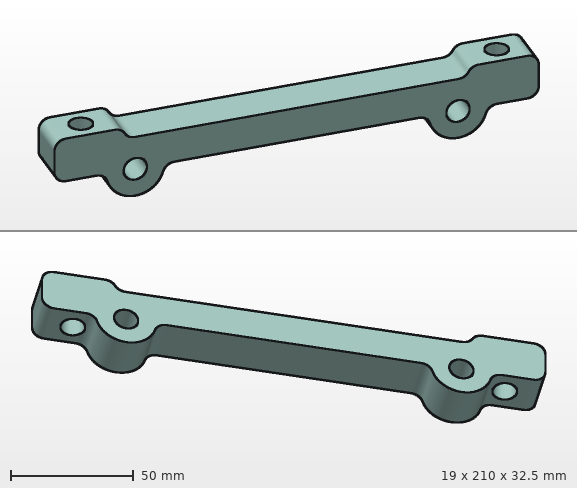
import cadquery as cq
import math

length = 210.0
width = 19.0
height = 32.5
lug_radius = 12.5
step_drop = 5.0
blend_radius = 5.0
hole_diameter = 10.0
pad_hole_from_end = 15.0
lug_from_end = 35.0
step_foot_from_end = 34.9

half_length = length / 2
pad_top = height - lug_radius
middle_top = pad_top - step_drop
lug_y = half_length - lug_from_end
pad_hole_y = half_length - pad_hole_from_end
step_foot_y = half_length - step_foot_from_end

step_angle = math.acos(1 - step_drop / (2 * blend_radius))
step_run = 2 * blend_radius * math.sin(step_angle)
step_top_y = step_foot_y + step_run
step_middle = (step_foot_y + step_run / 2, middle_top + step_drop / 2)


def make_bar():
    """Stepped bar with rounded ends, drawn in the YZ plane."""
    half_profile = (
        cq.Workplane("YZ")
        .moveTo(0, 0)
        .lineTo(half_length, 0)
        .lineTo(half_length, pad_top)
        .lineTo(step_top_y, pad_top)
        .tangentArcPoint(step_middle, relative=False)
        .tangentArcPoint((step_foot_y, middle_top), relative=False)
        .lineTo(0, middle_top)
        .close()
    )
    half_bar = half_profile.extrude(width / 2, both=True)
    half_bar = half_bar.faces(">Y").edges("|X").fillet(blend_radius)
    return half_bar.union(half_bar.mirror("XZ")).clean()


def make_lug(y):
    """Round lug hanging below the bar, with a concave fillet on each side."""
    center_distance = lug_radius + blend_radius
    fillet_offset = math.sqrt(center_distance**2 - blend_radius**2)
    tangent_y = fillet_offset * lug_radius / center_distance
    tangent_z = -blend_radius * lug_radius / center_distance
    half_turn = math.asin(fillet_offset / center_distance) / 2
    middle_y = fillet_offset - blend_radius * math.sin(half_turn)
    middle_z = blend_radius * (math.cos(half_turn) - 1)
    return (
        cq.Workplane("YZ")
        .moveTo(y - fillet_offset, 0)
        .threePointArc((y - middle_y, middle_z), (y - tangent_y, tangent_z))
        .threePointArc((y, -lug_radius), (y + tangent_y, tangent_z))
        .threePointArc((y + middle_y, middle_z), (y + fillet_offset, 0))
        .close()
        .extrude(width / 2, both=True)
    )


def make_hole(plane, y):
    """Cutter through the part, along the normal of the given plane."""
    center = (y, 0) if plane == "YZ" else (0, y)
    return (
        cq.Workplane(plane)
        .center(*center)
        .circle(hole_diameter / 2)
        .extrude(height, both=True)
    )


result = make_bar()
for side in (-1, 1):
    result = result.union(make_lug(side * lug_y))
for side in (-1, 1):
    result = result.cut(make_hole("YZ", side * lug_y))
    result = result.cut(make_hole("XY", side * pad_hole_y))